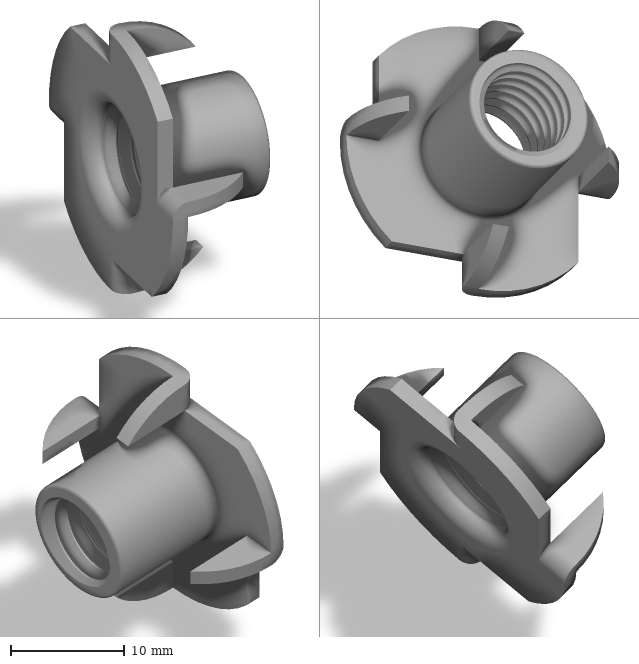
import cadquery as cq
import math

flange_radius = 12.7
flange_thickness = 1.5
overall_height = 13.0
notch_offset = 9.58

barrel_radius = 5.7
barrel_rim_fillet = 0.3
barrel_root_fillet = 0.3

throat_radius = 5.0
entry_fillet = 1.5
bore_radius = 4.01

thread_pitch = 1.5
thread_root_radius = 4.95
thread_crest_width = 0.15
flank_overlap = 0.08
thread_root_width = 0.08
thread_turns = 11
thread_start_angle = 90.0
thread_start = -1.75

notch_reach = math.sqrt(flange_radius**2 - notch_offset**2)
prong_tip_height = notch_reach


def quarter_turn(x, z, turns):
    """Turn a point clockwise in the XZ plane by whole quarter turns."""
    for _ in range(turns):
        x, z = z, -x
    return x, z


def extrude_xz(outline, start, end):
    """Extrude an XZ sketch made at Y = 0 between two Y positions."""
    return outline.extrude(start - end).translate((0, start, 0))


def make_flange():
    """Pinwheel plate: four arcs, each followed by a notch beside a prong."""
    arc_angle = math.atan2(notch_reach, notch_offset)
    middle_angle = (math.pi / 2 + arc_angle) / 2
    arc_middle = (flange_radius * math.cos(middle_angle), flange_radius * math.sin(middle_angle))
    outline = cq.Workplane("XZ").moveTo(0, flange_radius)
    for turns in range(4):
        outline = outline.threePointArc(
            quarter_turn(*arc_middle, turns),
            quarter_turn(notch_offset, notch_reach, turns),
        )
        outline = outline.lineTo(*quarter_turn(notch_offset, 0, turns))
        if turns < 3:
            outline = outline.lineTo(*quarter_turn(flange_radius, 0, turns))
    return extrude_xz(outline.close(), 0, flange_thickness)


def make_prong():
    """Upper prong: a quarter-round bend and a curved blade tapering to a point."""
    bend = (
        cq.Workplane("XY")
        .radiusArc((-flange_thickness, flange_thickness), flange_thickness)
        .lineTo(0, flange_thickness)
        .close()
        .extrude(flange_radius - notch_offset)
        .translate((0, 0, notch_offset))
    )
    blade_depth = flange_radius - notch_offset
    blade_height = prong_tip_height - flange_thickness
    blade_radius = (blade_depth**2 + blade_height**2) / (2 * blade_depth)
    blade = (
        cq.Workplane("YZ")
        .moveTo(flange_thickness, notch_offset)
        .lineTo(flange_thickness, flange_radius)
        .radiusArc((prong_tip_height, notch_offset), blade_radius)
        .close()
        .extrude(-flange_thickness)
    )
    return bend.union(blade)


def make_barrel():
    """Plain cylinder with a rounded rim."""
    barrel = extrude_xz(cq.Workplane("XZ").circle(barrel_radius), 0, overall_height)
    return barrel.faces(">Y").edges().fillet(barrel_rim_fillet)


def make_root_fillet():
    """Concave ring blending the barrel into the flange."""
    return (
        cq.Workplane("XY")
        .moveTo(bore_radius, flange_thickness)
        .lineTo(barrel_radius + barrel_root_fillet, flange_thickness)
        .radiusArc((barrel_radius, flange_thickness + barrel_root_fillet), barrel_root_fillet)
        .lineTo(bore_radius, flange_thickness + barrel_root_fillet)
        .close()
        .revolve(360, (0, 0, 0), (0, 1, 0))
    )


def make_bore():
    """Through bore with a rounded entry and a 45 degree lead-in cone."""
    cone_end = entry_fillet + throat_radius - bore_radius
    return (
        cq.Workplane("XY")
        .lineTo(throat_radius + entry_fillet, 0)
        .radiusArc((throat_radius, entry_fillet), entry_fillet)
        .lineTo(bore_radius, cone_end)
        .lineTo(bore_radius, overall_height)
        .lineTo(0, overall_height)
        .close()
        .revolve(360, (0, 0, 0), (0, 1, 0))
    )


def make_thread_groove():
    """Right-hand V groove, built from one-turn helicoid faces, running past both ends of the nut."""
    inner_radius = bore_radius - flank_overlap
    crest_half_width = (thread_pitch - thread_crest_width) / 2
    root_half_width = thread_root_width / 2
    flank_slope = (crest_half_width - root_half_width) / (thread_root_radius - bore_radius)
    inner_half_width = crest_half_width + flank_slope * flank_overlap
    section = [
        (inner_radius, -inner_half_width),
        (thread_root_radius, -root_half_width),
        (thread_root_radius, root_half_width),
        (inner_radius, inner_half_width),
    ]
    length = thread_turns * thread_pitch
    faces = []
    for turn in range(thread_turns):
        edges = [
            cq.Wire.makeHelix(thread_pitch, thread_pitch, radius)
            .translate(cq.Vector(0, 0, turn * thread_pitch + offset))
            for radius, offset in section
        ]
        faces += [cq.Face.makeRuledSurface(edges[i - 1], edges[i]) for i in range(len(edges))]
    for height in (0, length):
        corners = [cq.Vector(radius, 0, height + offset) for radius, offset in section]
        faces.append(cq.Face.makeFromWires(cq.Wire.makePolygon(corners, close=True)))
    groove = cq.Workplane(obj=cq.Solid.makeSolid(cq.Shell.makeShell(faces)))
    groove = groove.rotate((0, 0, 0), (0, 0, 1), thread_start_angle)
    return groove.rotate((0, 0, 0), (1, 0, 0), -90).translate((0, thread_start, 0))


prong = make_prong()
body = make_flange().union(make_barrel()).union(make_root_fillet())
for turns in range(4):
    body = body.union(prong.rotate((0, 0, 0), (0, 1, 0), 90 * turns))
result = body.cut(make_bore()).cut(make_thread_groove())